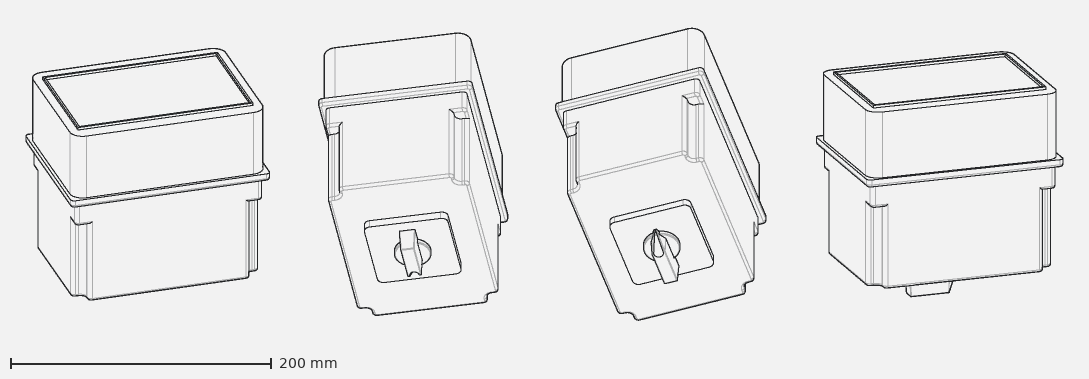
import cadquery as cq
import math

total_height = 170.8
flange_length_x = 119.5
flange_length_y = 160.0
flange_thickness = 6.1
flange_top = 115.8
flange_bottom = flange_top - flange_thickness

corner_radius = 3.2
rim_radius = 2.0

bezel_length_x = 90.9
bezel_length_y = 140.5
bezel_width = 1.5
bezel_height = 2.0

cover_inset = 2.5
cover_length_x = flange_length_x - 2 * cover_inset
cover_length_y = flange_length_y - 2 * cover_inset
cover_radius = 10.2
cover_top = total_height - bezel_height

case_inset = 4.8
case_length_x = flange_length_x - 2 * case_inset
case_length_y = flange_length_y - 2 * case_inset
case_bottom = 25.3
notch_size = 10.2
notch_root_radius = 5.0
notch_top = 91.4

switch_center_y = 2.4
plate_size = 65.2
plate_radius = 5.0
plate_bottom = 18.8

disc_diameter = 28.2
disc_bottom = 14.9
disc_edge_radius = 0.7

lever_width = 12.5
lever_back_y = 26.5
lever_shoulder_y = -5.8
lever_tip_y = -14.3
lever_tip_width = 1.7
lever_draft = 3.0
lever_edge_radius = 0.5

slope_foot_y = -6.0
groove_radius = 3.8
groove_stretch = 1.1


def rounded_block(length_x, length_y, bottom, top, radius):
    """Upright block centred on the Z axis with rounded vertical edges."""
    block = cq.Workplane("XY").workplane(offset=bottom).rect(length_x, length_y).extrude(top - bottom)
    return block.edges("|Z").fillet(radius)


def make_cover():
    return rounded_block(cover_length_x, cover_length_y, flange_top, cover_top, cover_radius)


def make_bezel():
    """Rectangular frame with sharp corners."""
    opening_x = bezel_length_x - 2 * bezel_width
    opening_y = bezel_length_y - 2 * bezel_width
    base = cq.Workplane("XY").workplane(offset=cover_top)
    return base.rect(bezel_length_x, bezel_length_y).rect(opening_x, opening_y).extrude(bezel_height)


def make_flange():
    flange = rounded_block(flange_length_x, flange_length_y, flange_bottom, flange_top, corner_radius)
    return flange.faces("<Z").edges().fillet(rim_radius)


def make_notched_column(bottom, top):
    """Lower part of the case: a cross-shaped column with rounded outer and root edges."""
    root_x = case_length_x / 2 - notch_size
    root_y = case_length_y / 2 - notch_size
    base = cq.Workplane("XY").workplane(offset=bottom)
    column = base.rect(case_length_x, 2 * root_y).extrude(top - bottom)
    column = column.union(base.rect(2 * root_x, case_length_y).extrude(top - bottom))

    margin = notch_size / 2
    roots = cq.selectors.BoxSelector(
        (-root_x - margin, -root_y - margin, bottom + margin),
        (root_x + margin, root_y + margin, top - margin),
    )
    upright = cq.selectors.ParallelDirSelector(cq.Vector(0, 0, 1))
    column = column.edges(upright - roots).fillet(corner_radius)
    column = column.edges(roots).fillet(notch_root_radius)
    return column.faces("<Z").edges().fillet(rim_radius)


def make_case():
    """Full block above the notches, joined with the notched column below it."""
    upper = rounded_block(case_length_x, case_length_y, notch_top, flange_bottom, corner_radius)
    upper = upper.faces("<Z").edges().fillet(rim_radius)
    lower = make_notched_column(case_bottom, notch_top + rim_radius)
    return upper.union(lower)


def make_plate():
    plate = rounded_block(plate_size, plate_size, plate_bottom, case_bottom, plate_radius)
    return plate.translate((0, switch_center_y, 0))


def make_disc():
    base = cq.Workplane("XY").workplane(offset=disc_bottom).center(0, switch_center_y)
    disc = base.circle(disc_diameter / 2).extrude(plate_bottom - disc_bottom)
    return disc.edges().fillet(disc_edge_radius)


def make_lever(disc):
    """Pointed, drafted lever with a sloping end, a finger groove and a recess for the disc."""
    half_width = lever_width / 2
    half_tip = lever_tip_width / 2
    outline = [
        (-half_width, lever_back_y),
        (-half_width, lever_shoulder_y),
        (-half_tip, lever_tip_y),
        (half_tip, lever_tip_y),
        (half_width, lever_shoulder_y),
        (half_width, lever_back_y),
    ]
    base = cq.Workplane("XY").workplane(offset=plate_bottom)
    lever = base.polyline(outline).close().extrude(-plate_bottom, taper=lever_draft)

    wedge_outline = [
        (lever_tip_y, plate_bottom),
        (slope_foot_y, 0),
        (lever_tip_y, 0),
    ]
    wedge = cq.Workplane("YZ").polyline(wedge_outline).close().extrude(half_width, both=True)
    lever = lever.cut(wedge).edges().fillet(lever_edge_radius)

    slope_run = slope_foot_y - lever_tip_y
    slope_length = math.hypot(slope_run, plate_bottom)
    groove = cq.Solid.makeCone(
        0,
        groove_stretch * groove_radius,
        groove_stretch * slope_length,
        pnt=(0, lever_tip_y, plate_bottom),
        dir=(0, slope_run, -plate_bottom),
    )
    return lever.cut(cq.Workplane(groove)).cut(disc)


cover = make_cover()
bezel = make_bezel()
flange = make_flange()
case = make_case()
plate = make_plate()
disc = make_disc()
lever = make_lever(disc)

bodies = [cover, bezel, flange, case, plate, disc, lever]
result = cq.Compound.makeCompound([body.solids().val() for body in bodies])